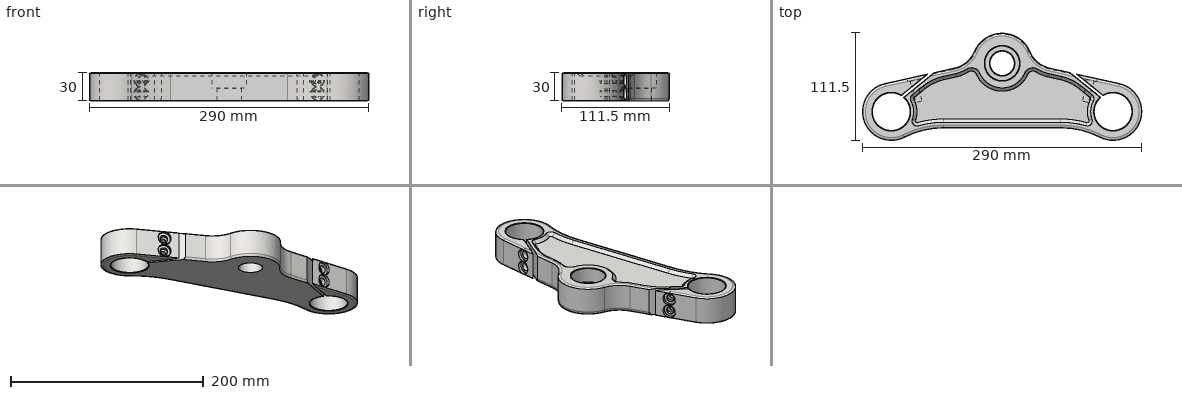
import cadquery as cq
import math

thickness = 30.0
fork_x = 115.0
stem_y = 50.2
fork_boss_radius = 30.0
stem_boss_radius = 31.3

front_edge_y = -16.8
front_blend_radius = 90.0
back_edge_angle = 12.5
stem_blend_radius = 29.0

wide_chamfer = 3.0
narrow_chamfer = 1.0

fork_bore_diameter = 39.2
stem_bore_diameter = 25.2
bearing_diameter = 36.0
bearing_depth = 16.0
bore_chamfer = 0.5

pocket_depth = 3.5
pocket_rim = 5.8
pocket_fork_radius = 23.2
pocket_stem_radius = stem_boss_radius - pocket_rim
pocket_tip_x = fork_x - 16.0
pocket_slot_rim = 3.5
pocket_corner_radius = 5.2
pocket_shoulder_radius = 49.3
pocket_peak_radius = 9.3
pocket_peak_limit_x = 58.0

slot_width = 3.2
slot_angle = 39.0
slot_offset = 5.0
slot_length = 87.0

screw_x = 92.2
screw_spacing = 14.0
screw_head_diameter = 13.5
screw_head_depth = 3.2
screw_clearance_diameter = 8.0
screw_clearance_depth = 8.7
screw_thread_diameter = 6.7
screw_thread_depth = 26.0

beyond = 174.0

back_slope = math.radians(back_edge_angle)


def both_sides(shape):
    """Join a left-hand shape with its mirror image."""
    return shape.union(shape.mirror("YZ"))


def cylinder(x, y, radius, height):
    return cq.Workplane("XY").center(x, y).circle(radius).extrude(height)


def back_edge_y(x, inset=0.0):
    """Y of the left sloping back edge, which is tangent to the fork boss."""
    tangent_rise = (fork_boss_radius - inset) / math.cos(back_slope)
    return tangent_rise + (x + fork_x) * math.tan(back_slope)


def fillet_both_corners(body, x, y, radius):
    """Round the upright edge at a point and its mirror image."""
    left = cq.selectors.NearestToPointSelector((-x, y, 0))
    right = cq.selectors.NearestToPointSelector((x, y, 0))
    return body.edges("|Z").edges(left + right).fillet(radius)


def plate(inset, height):
    """Plate with its whole outer edge moved inwards by the inset."""
    fork_radius = fork_boss_radius - inset
    stem_radius = stem_boss_radius - inset
    front_y = front_edge_y + inset
    tangent_x = -fork_x - fork_radius * math.sin(back_slope)
    web = (
        cq.Workplane("XY")
        .moveTo(0, front_y)
        .lineTo(-fork_x, front_y)
        .lineTo(-fork_x, 0)
        .lineTo(tangent_x, back_edge_y(tangent_x, inset))
        .lineTo(0, back_edge_y(0, inset))
        .close()
        .extrude(height)
    )
    body = both_sides(web.union(cylinder(-fork_x, 0, fork_radius, height)))
    body = body.union(cylinder(0, stem_y, stem_radius, height)).clean()

    front_corner_x = fork_x - math.sqrt(fork_radius**2 - front_y**2)
    body = fillet_both_corners(body, front_corner_x, front_y, front_blend_radius + inset)

    drop = (back_edge_y(0, inset) - stem_y) * math.cos(back_slope)
    reach = math.sqrt(stem_radius**2 - drop**2)
    back_corner_x = reach * math.cos(back_slope) + drop * math.sin(back_slope)
    back_corner_y = back_edge_y(-back_corner_x, inset)
    return fillet_both_corners(body, back_corner_x, back_corner_y, stem_blend_radius + inset)


def slot_bar(near, far, start, length, height):
    """Bar along the left slot, between two offsets measured across from the bore centre."""
    return (
        cq.Workplane("XY")
        .rect(length, far - near)
        .extrude(height)
        .translate((start + length / 2, (near + far) / 2, 0))
        .rotate((0, 0, 0), (0, 0, 1), slot_angle)
        .translate((-fork_x, 0, 0))
    )


def chamfer_waste(run, rise):
    """Material that a chamfer removes around the bottom of the outer edge."""
    blank = plate(0, rise)
    outline = blank.faces(">Z").val().outerWire()
    slope = math.degrees(math.atan2(run, rise))
    kept = cq.Workplane("XY").add(outline).toPending().extrude(-rise, taper=slope)
    return blank.cut(kept)


def chamfer_outer_edge(body):
    """Low, wide chamfers all round, but a tall, narrow one below the edge between the slots."""
    low = chamfer_waste(wide_chamfer, narrow_chamfer)
    tall = chamfer_waste(narrow_chamfer, wide_chamfer)
    rear = cq.Workplane("XY").rect(2 * fork_x, beyond).extrude(thickness)
    rear = rear.translate((0, stem_y / 2 + beyond / 2, 0))
    rear = rear.cut(both_sides(slot_bar(slot_offset, beyond, -beyond, 2 * beyond, thickness)))
    top_waste = low.mirror("XY").translate((0, 0, thickness))
    return body.cut(top_waste).cut(low.cut(rear)).cut(tall.intersect(rear))


def bore_flare(x, y, z, radius):
    """Cone that breaks the upper edge of a bore at the given height."""
    flare = cq.Workplane("XY").circle(radius + bore_chamfer).extrude(-bore_chamfer, taper=45)
    return flare.translate((x, y, z))


def fork_cutter():
    """Left fork bore with broken edges, and the clamp slot that opens it."""
    radius = fork_bore_diameter / 2
    top_flare = bore_flare(-fork_x, 0, thickness, radius)
    bottom_flare = top_flare.mirror("XY").translate((0, 0, thickness))
    bore = cylinder(-fork_x, 0, radius, thickness).union(top_flare).union(bottom_flare)
    half = slot_width / 2
    return bore.union(slot_bar(slot_offset - half, slot_offset + half, 0, slot_length, thickness))


def stem_cutter():
    """Stem bore with a bearing seat sunk into the top face."""
    seat_z = thickness - bearing_depth
    seat_radius = bearing_diameter / 2
    bore_radius = stem_bore_diameter / 2
    seat = cylinder(0, stem_y, seat_radius, bearing_depth).translate((0, 0, seat_z))
    seat = seat.union(bore_flare(0, stem_y, thickness, seat_radius))
    bore = cylinder(0, stem_y, bore_radius, thickness)
    return bore.union(bore_flare(0, stem_y, seat_z, bore_radius)).union(seat)


def round_corners(prism, radius, height):
    """Prism with the outward corners of its outline rounded to the given radius."""
    outline = prism.faces("<Z").val().outerWire()
    rounded = outline.offset2D(-radius)[0].offset2D(radius)[0]
    return cq.Workplane("XY").add(rounded).toPending().extrude(height)


def pocket():
    """Pocket whose 45 degree walls slope in all the way down to the floor."""
    height = 2 * pocket_depth
    slot_rim = slot_offset - slot_width / 2 - pocket_slot_rim
    prism = plate(pocket_rim, height)
    prism = prism.cut(cylinder(0, stem_y, pocket_stem_radius, height))
    prism = prism.cut(both_sides(cylinder(-fork_x, 0, pocket_fork_radius, height)))
    prism = prism.cut(both_sides(slot_bar(slot_rim, beyond, -beyond, 2 * beyond, height)))
    prism = prism.intersect(cq.Workplane("XY").rect(2 * pocket_tip_x, beyond).extrude(height))

    slot_slope = math.radians(slot_angle)
    rise = back_edge_y(-fork_x, pocket_rim) - slot_rim / math.cos(slot_slope)
    run = rise / (math.tan(slot_slope) - math.tan(back_slope))
    shoulder_y = back_edge_y(run - fork_x, pocket_rim)
    prism = fillet_both_corners(prism, fork_x - run, shoulder_y, pocket_shoulder_radius)

    middle = cq.Workplane("XY").rect(2 * pocket_peak_limit_x, beyond).extrude(height)
    peaks = round_corners(prism, pocket_peak_radius, height).intersect(middle)
    ends = round_corners(prism, pocket_corner_radius, height).cut(middle)
    prism = ends.union(peaks).clean().faces("<Z").edges().chamfer(pocket_depth)
    return prism.translate((0, 0, thickness - pocket_depth))


def screw_holes():
    """Pair of stepped clamp screw holes, square to the left sloping back edge."""
    steps = [
        (screw_head_diameter, screw_head_depth),
        (screw_clearance_diameter, screw_clearance_depth),
        (screw_thread_diameter, screw_thread_depth),
    ]
    lead_in = screw_head_diameter
    holes = cq.Workplane("XY")
    for diameter, depth in steps:
        step = (
            cq.Workplane("XZ", origin=(0, lead_in, 0))
            .pushPoints([(0, -screw_spacing / 2), (0, screw_spacing / 2)])
            .circle(diameter / 2)
            .extrude(lead_in + depth)
        )
        holes = holes.union(step)
    holes = holes.rotate((0, 0, 0), (0, 0, 1), back_edge_angle)
    return holes.translate((-screw_x, back_edge_y(-screw_x), thickness / 2))


body = chamfer_outer_edge(plate(0, thickness))
body = body.cut(both_sides(fork_cutter()))
body = body.cut(stem_cutter())
body = body.cut(pocket())
result = body.cut(both_sides(screw_holes()))